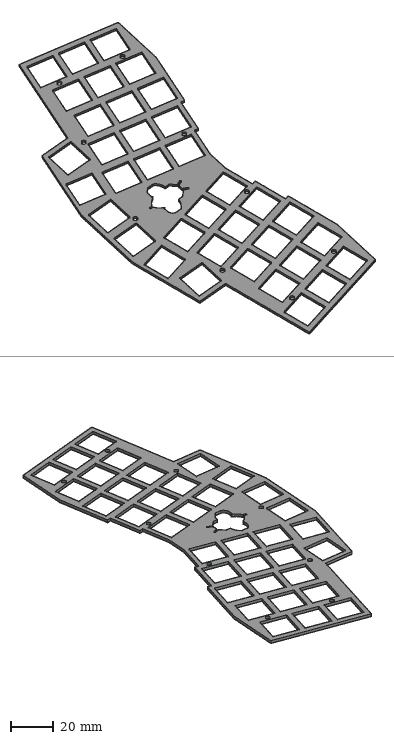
import cadquery as cq
import math

length = 210.2
depth = 88.0
thickness = 1.6
top_y = depth / 2
bottom_y = -depth / 2
splay = 13.0
cos_splay = math.cos(math.radians(splay))
sin_splay = math.sin(math.radians(splay))

window = 14.0
row_pitch = 17.0
row_count = 3
column_span = 72.1
inner_column_u = 18.7
column_middle_v = [-2.5, -0.5, 1.7, -0.5, -4.6]
thumb_keys = [(9.3, -34.5, 0), (28.5, -32.4, splay), (47.5, -26.3, 0)]

hole_diameter = 2.3
side_holes = [(76.5, 32.4), (22.7, 24.4), (84.3, -0.6), (50.2, -15.0)]
centre_hole_y = -26.0

grid_bottom_v = -31.3
thumb_bottom_v = -47.0
thumb_side_x = 57.2
centre_top_y = 25.9
top_edge_v = 28.2
top_step = 2.0
outer_step_u = 45.0
inner_step_u = 27.1


def from_grid(u, v):
    """Plate position of a point given in the tilted frame of the right half."""
    return (u * cos_splay - v * sin_splay, u * sin_splay + v * cos_splay)


def on_row_line_at_x(v, x):
    """Point of the tilted line at height v that has the given x."""
    return (x, (v + x * sin_splay) / cos_splay)


def on_row_line_at_y(v, y):
    """Point of the tilted line at height v that has the given y."""
    return ((y * cos_splay - v) / sin_splay, y)


def mirrored(points):
    """Closed outline of a right-half chain of points and its mirror image."""
    return points + [(-x, y) for x, y in reversed(points)]


def plate_outline():
    outer_corner = on_row_line_at_x(grid_bottom_v, length / 2)
    outer_u = outer_corner[0] * cos_splay + outer_corner[1] * sin_splay
    outer_top = ((outer_u - top_y * sin_splay) / cos_splay, top_y)
    middle_edge_v = top_edge_v - top_step
    inner_edge_v = middle_edge_v - top_step
    return mirrored([
        on_row_line_at_y(inner_edge_v, centre_top_y),
        from_grid(inner_step_u, inner_edge_v),
        from_grid(inner_step_u, middle_edge_v),
        from_grid(outer_step_u, middle_edge_v),
        from_grid(outer_step_u, top_edge_v),
        on_row_line_at_y(top_edge_v, top_y),
        outer_top,
        outer_corner,
        on_row_line_at_x(grid_bottom_v, thumb_side_x),
        on_row_line_at_x(thumb_bottom_v, thumb_side_x),
        on_row_line_at_y(thumb_bottom_v, bottom_y),
    ])


def key_places():
    """Centre and tilt of every key window on the right half."""
    column_pitch = column_span / (len(column_middle_v) - 1)
    places = list(thumb_keys)
    for column, middle_v in enumerate(column_middle_v):
        for row in range(row_count):
            u = inner_column_u + column * column_pitch
            v = middle_v + (row - (row_count - 1) / 2) * row_pitch
            x, y = from_grid(u, v)
            places.append((x, y, splay))
    return places


def key_windows():
    sketch = cq.Sketch()
    for x, y, tilt in key_places():
        for side in (1, -1):
            place = cq.Location(cq.Vector(side * x, y, 0), cq.Vector(0, 0, 1), side * tilt)
            sketch = sketch.push([place]).rect(window, window).reset()
    return cq.Workplane("XY").placeSketch(sketch).extrude(thickness)


def screw_holes():
    places = mirrored(side_holes) + [(0, centre_hole_y)]
    return cq.Workplane("XY").pushPoints(places).circle(hole_diameter / 2).extrude(thickness)


head_half_width = 2.0
head_top_y = 2.3
cheek = (4.8, -0.6)
neck = (4.8, -3.2)
wing_top_middle = (8.0, -4.2)
wing_tip_top = (9.9, -6.0)
wing_tip_bottom = (9.9, -9.5)
wing_corner_middle = (8.8, -11.0)
wing_bottom = (7.1, -11.8)
wing_root_y = -11.8
wing_notch = (4.5, -11.1)
tail_top = (3.8, -11.8)
tail_middle = (2.5, -13.7)
stinger_half_width = 0.5
stinger_top_y = -15.1
stinger_tip_y = -16.8
antenna_base = (1.7, 2.3)
antenna_tip = (2.7, 4.6)
antenna_width = 0.8


def bee_body():
    right_half = (
        cq.Workplane("XY")
        .moveTo(0, head_top_y)
        .lineTo(head_half_width, head_top_y)
        .lineTo(*cheek)
        .lineTo(*neck)
        .threePointArc(wing_top_middle, wing_tip_top)
        .lineTo(*wing_tip_bottom)
        .threePointArc(wing_corner_middle, wing_bottom)
        .lineTo(wing_notch[0], wing_root_y)
        .lineTo(*wing_notch)
        .lineTo(*tail_top)
        .threePointArc(tail_middle, (stinger_half_width, stinger_top_y))
        .lineTo(stinger_half_width, stinger_tip_y)
        .lineTo(0, stinger_tip_y)
        .close()
        .extrude(thickness)
    )
    return right_half.union(right_half.mirror("YZ"))


def antenna(side):
    run = side * (antenna_tip[0] - antenna_base[0])
    rise = antenna_tip[1] - antenna_base[1]
    middle_x = side * (antenna_base[0] + antenna_tip[0]) / 2
    middle_y = (antenna_base[1] + antenna_tip[1]) / 2
    slot_length = math.hypot(run, rise) + antenna_width
    tilt = math.degrees(math.atan2(rise, run))
    return (
        cq.Workplane("XY")
        .center(middle_x, middle_y)
        .slot2D(slot_length, antenna_width, tilt)
        .extrude(thickness)
    )


plate = cq.Workplane("XY").polyline(plate_outline()).close().extrude(thickness)
plate = plate.cut(key_windows()).cut(screw_holes()).cut(bee_body())
for half in (1, -1):
    plate = plate.cut(antenna(half))
result = plate